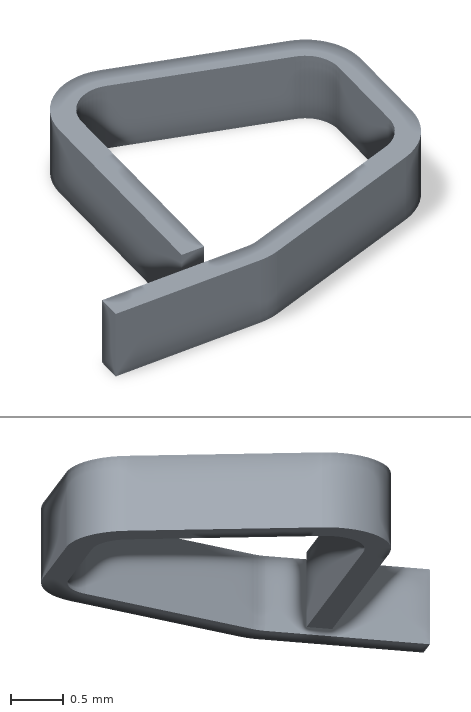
import cadquery as cq
import math

width = 3.35
length = 4.06
height = 0.76

thickness = 0.25
outer_radius = 0.625
inner_radius = outer_radius - thickness

foot_y = 1.015
foot_end_x = 2.89
top_start_x = 1.175
top_end_x = 2.107
tail_length = 1.625

foot_center = (outer_radius, foot_y + outer_radius)
top_left_center = (top_start_x, length - outer_radius)
top_right_center = (top_end_x, length - outer_radius)
tail_center = (width - outer_radius, tail_length)


def leg_normal(start, end):
    """Outward normal angle of a leg running clockwise between two bend centres."""
    return math.atan2(end[1] - start[1], end[0] - start[0]) + math.pi / 2


foot_normal = 1.5 * math.pi
left_normal = leg_normal(foot_center, top_left_center)
top_normal = math.pi / 2
right_normal = leg_normal(top_right_center, tail_center)
tail_normal = 0.0

bends = [
    (foot_center, foot_normal, left_normal),
    (top_left_center, left_normal, top_normal),
    (top_right_center, top_normal, right_normal),
    (tail_center, right_normal, tail_normal),
]


def point_on_bend(center, radius, angle):
    return (center[0] + radius * math.cos(angle), center[1] + radius * math.sin(angle))


def add_bend(outline, center, radius, start, end):
    """Straight run up to the bend, then the arc around it."""
    return outline.lineTo(*point_on_bend(center, radius, start)).threePointArc(
        point_on_bend(center, radius, (start + end) / 2),
        point_on_bend(center, radius, end),
    )


outline = cq.Workplane("XY").moveTo(foot_end_x, foot_y)
for center, start, end in bends:
    outline = add_bend(outline, center, outer_radius, start, end)
outline = outline.lineTo(width, 0).lineTo(width - thickness, 0)
for center, start, end in reversed(bends):
    outline = add_bend(outline, center, inner_radius, end, start)
outline = outline.lineTo(foot_end_x, foot_y + thickness).close()

result = outline.extrude(height)